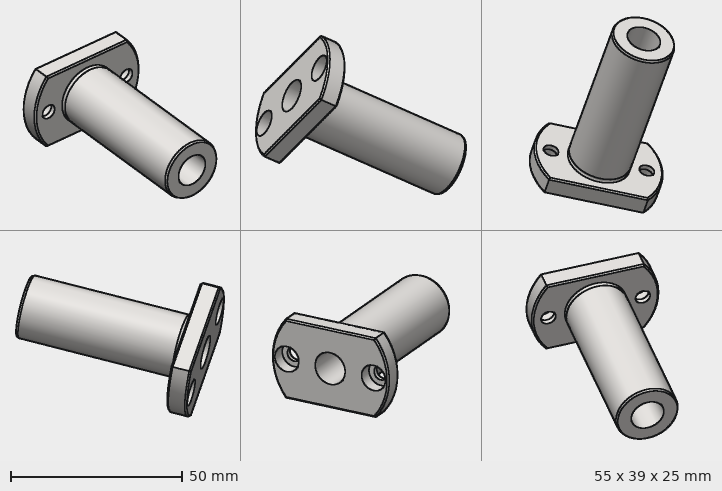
import cadquery as cq

total_length = 55.0
bore_diameter = 10.0

flange_diameter = 39.0
flange_height = 25.0
flange_thickness = 6.0
flange_chamfer = 0.5

barrel_diameter = 19.0
barrel_chamfer_length = 0.7
barrel_chamfer_depth = 0.35

groove_width = 1.4
groove_depth = 0.35

hole_spacing = 29.0
hole_diameter = 4.5
counterbore_diameter = 8.0
counterbore_depth = 4.4


def make_flange():
    """Disc cut by two flats, chamfered all round on both faces."""
    disc = cq.Workplane("YZ").circle(flange_diameter / 2).extrude(flange_thickness)
    flats = cq.Workplane("YZ").rect(flange_diameter, flange_height).extrude(flange_thickness)
    return disc.intersect(flats).faces("<X or >X").edges().chamfer(flange_chamfer)


def make_barrel():
    """Turned barrel with the relief groove and a chamfered free end."""
    radius = barrel_diameter / 2
    groove_end = flange_thickness + groove_width
    groove_bottom = (flange_thickness + groove_width / 2, radius - groove_depth)
    profile = (
        cq.Workplane("XY")
        .lineTo(0, radius)
        .lineTo(flange_thickness, radius)
        .threePointArc(groove_bottom, (groove_end, radius))
        .lineTo(total_length - barrel_chamfer_length, radius)
        .lineTo(total_length, radius - barrel_chamfer_depth)
        .lineTo(total_length, 0)
        .close()
    )
    return profile.revolve(360, (0, 0, 0), (1, 0, 0))


def drill_mounting_holes(body):
    """Counterbored holes either side of the bore, sunk from the flange face."""
    for side in (-1, 1):
        center = cq.Workplane("YZ").center(side * hole_spacing / 2, 0)
        body = body.cut(center.circle(hole_diameter / 2).extrude(flange_thickness))
        body = body.cut(center.circle(counterbore_diameter / 2).extrude(counterbore_depth))
    return body


bore = cq.Workplane("YZ").circle(bore_diameter / 2).extrude(total_length)

result = drill_mounting_holes(make_flange().union(make_barrel()).cut(bore))